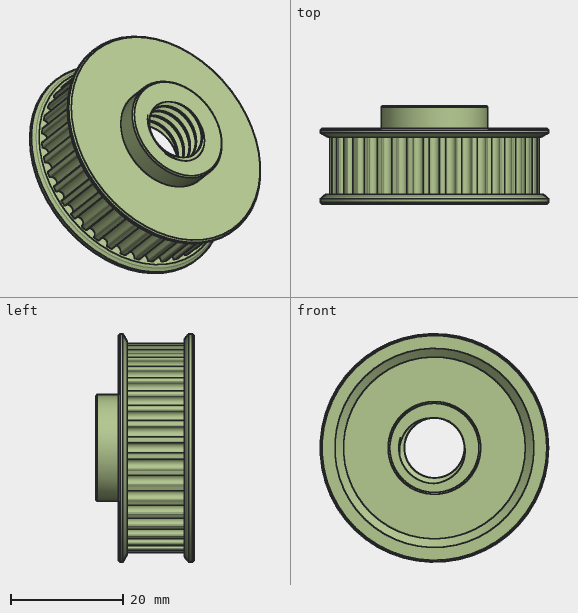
import cadquery as cq
import math


flange_radius = 20.3
flange_chamfer = 0.33
front_rim_edge = 0.95
front_bevel_break = 1.45
front_inner_face = 1.8
front_break_radius = 19.75
front_bevel_radius = 19.25
back_inner_face = 11.9
back_rim_edge = 12.7
back_outer_face = 13.5
back_bevel_radius = 18.95

tooth_count = 40
tooth_radius = 18.7
groove_depth = 1.2
groove_radius = 0.9
tooth_corner_radius = 0.15

hub_radius = 9.5
hub_end = 17.5
hub_chamfer = 0.3

recess_radius = 16.17
recess_depth = 5.7
recess_chamfer = 1.55
counterbore_radius = 7.92
counterbore_depth = 2.2
counterbore_chamfer = 0.33

thread_pitch = 2.0
minor_radius = 5.32
major_radius = 6.35
root_width = 0.4
mouth_width = 1.55
thread_phase = 232.0
cutter_overlap = 0.2

bore_start = recess_depth + counterbore_depth


def turned(points):
    """Solid turned about the Y axis from (radius, y) points."""
    return cq.Workplane("XY").polyline(points).close().revolve(360, (0, 0, 0), (0, 1, 0))


def polar(radius, angle, centre=(0.0, 0.0)):
    return centre[0] + radius * math.cos(angle), centre[1] + radius * math.sin(angle)


def make_front_flange():
    """Flange round the open face, with a two-step bevel facing the belt."""
    return turned([
        (0, 0),
        (flange_radius - flange_chamfer, 0),
        (flange_radius, flange_chamfer),
        (flange_radius, front_rim_edge),
        (front_break_radius, front_bevel_break),
        (front_bevel_radius, front_inner_face),
        (0, front_inner_face),
    ])


def make_back_flange():
    """Flange on the hub side, with a single bevel facing the belt."""
    return turned([
        (0, back_inner_face),
        (back_bevel_radius, back_inner_face),
        (flange_radius, back_rim_edge),
        (flange_radius, back_outer_face - flange_chamfer),
        (flange_radius - flange_chamfer, back_outer_face),
        (0, back_outer_face),
    ])


def make_toothed_rim():
    """Toothed cylinder; each groove is one arc blended into the tooth tips by corner rounds."""
    groove_centre_radius = tooth_radius - groove_depth + groove_radius
    corner_centre_radius = tooth_radius - tooth_corner_radius
    centre_distance = groove_radius + tooth_corner_radius
    corner_angle = math.acos(
        (groove_centre_radius**2 + corner_centre_radius**2 - centre_distance**2)
        / (2 * groove_centre_radius * corner_centre_radius)
    )
    tooth_angle = 2 * math.pi / tooth_count

    def groove_points(axis):
        """Start, then (mid, end) of the first corner, the groove and the last corner."""
        groove_centre = polar(groove_centre_radius, axis)
        sides = {}
        for side in (-1, 1):
            tip_angle = axis + side * corner_angle
            corner = polar(corner_centre_radius, tip_angle)
            dx = (corner[0] - groove_centre[0]) / centre_distance
            dy = (corner[1] - groove_centre[1]) / centre_distance
            blend = (groove_centre[0] + groove_radius * dx, groove_centre[1] + groove_radius * dy)
            mx = math.cos(tip_angle) - dx
            my = math.sin(tip_angle) - dy
            middle = polar(tooth_corner_radius, math.atan2(my, mx), corner)
            sides[side] = (polar(tooth_radius, tip_angle), middle, blend)
        bottom = polar(tooth_radius - groove_depth, axis)
        return sides[-1], bottom, sides[1]

    first_axis = math.pi / 2
    outline = cq.Workplane("XZ").moveTo(*groove_points(first_axis)[0][0])
    for index in range(tooth_count):
        axis = first_axis + index * tooth_angle
        (tip_in, middle_in, blend_in), bottom, (tip_out, middle_out, blend_out) = groove_points(axis)
        outline = outline.threePointArc(middle_in, blend_in)
        outline = outline.threePointArc(bottom, blend_out)
        outline = outline.threePointArc(middle_out, tip_out)
        next_tip = polar(tooth_radius, axis + tooth_angle - corner_angle)
        outline = outline.threePointArc(polar(tooth_radius, axis + tooth_angle / 2), next_tip)
    return outline.close().extrude(-back_outer_face)


def make_hub():
    return turned([
        (0, 0),
        (hub_radius, 0),
        (hub_radius, hub_end - hub_chamfer),
        (hub_radius - hub_chamfer, hub_end),
        (0, hub_end),
    ])


def make_cavity():
    """Recess, counterbore and plain bore as one turned shape."""
    return turned([
        (0, 0),
        (recess_radius + recess_chamfer, 0),
        (recess_radius, recess_chamfer),
        (recess_radius, recess_depth),
        (counterbore_radius + counterbore_chamfer, recess_depth),
        (counterbore_radius, recess_depth + counterbore_chamfer),
        (counterbore_radius, bore_start),
        (minor_radius, bore_start),
        (minor_radius, hub_end),
        (0, hub_end),
    ])


def make_thread_cutter():
    """Right-handed helical groove, running out past both ends of the bore."""
    length = hub_end - bore_start + 2 * thread_pitch
    inner_radius = minor_radius - cutter_overlap
    flank_slope = (mouth_width - root_width) / (major_radius - minor_radius)
    inner_width = mouth_width + flank_slope * cutter_overlap
    helix = cq.Workplane(obj=cq.Wire.makeHelix(thread_pitch, length, minor_radius))
    cutter = (
        cq.Workplane("XZ")
        .polyline([
            (inner_radius, -inner_width / 2),
            (major_radius, -root_width / 2),
            (major_radius, root_width / 2),
            (inner_radius, inner_width / 2),
        ])
        .close()
        .sweep(helix, isFrenet=True)
    )
    cutter = cutter.rotate((0, 0, 0), (1, 0, 0), -90)
    cutter = cutter.rotate((0, 0, 0), (0, 1, 0), -thread_phase)
    return cutter.translate((0, bore_start - thread_pitch, 0))


pulley = make_toothed_rim()
pulley = pulley.union(make_front_flange())
pulley = pulley.union(make_back_flange())
pulley = pulley.union(make_hub())
pulley = pulley.cut(make_cavity())
result = pulley.cut(make_thread_cutter())